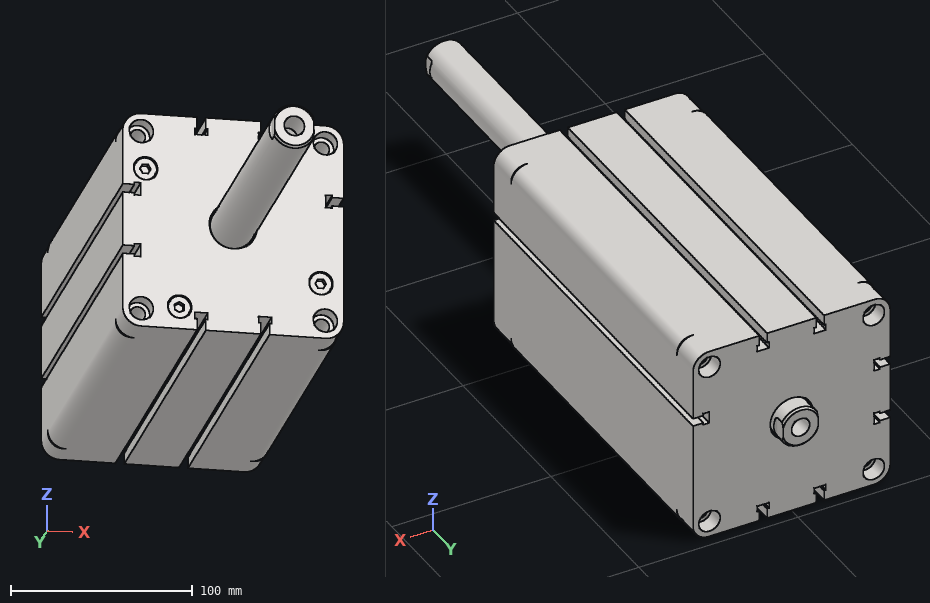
import cadquery as cq
import math


total_length = 406.5
rod_reach = 169.5
rod_rear_reach = 10.0
front_cap_length = 20.0
rear_cap_length = 18.3

housing_side = 124.0
cap_corner_radius = 10.0
barrel_corner_radius = 9.0

slot_offset = 18.0
slot_neck_width = 5.0
slot_neck_depth = 6.5
slot_head_width = 7.5
slot_depth = 10.0

rod_diameter = 25.0
rod_recess_diameter = 27.0
rod_recess_depth = 2.0
rod_chamfer = 1.2
flat_across = 22.0
flat_length = 7.7
flat_runout_radius = 1.2
rod_hole_diameter = 11.5
rod_hole_depth = 20.5
drill_point_angle = 118.0

mount_hole_offset = 51.5
mount_hole_diameter = 8.5
mount_bore_diameter = 13.5
mount_bore_depth = 10.0

screw_near_offset = 30.0
screw_far_offset = 49.0
screw_bore_diameter = 13.5
screw_head_diameter = 12.5
screw_bore_depth = 5.0
screw_head_recess = 1.0
socket_across_corners = 6.0
socket_depth = 3.3

half_side = housing_side / 2
rod_front = -total_length / 2
rod_rear = total_length / 2
housing_front = rod_front + rod_reach
housing_rear = rod_rear - rod_rear_reach
housing_length = housing_rear - housing_front


def plane_at(y):
    """Sketch plane across the axis: local x is X, local y is Z, normal is -Y."""
    return cq.Workplane("XZ", origin=(0, y, 0))


def square_block(y_start, y_end, corner_radius):
    block = plane_at(y_end).rect(housing_side, housing_side).extrude(y_end - y_start)
    return block.edges("|Y").fillet(corner_radius)


def cylinder(diameter, y_start, y_end, points=((0, 0),)):
    return plane_at(y_end).pushPoints(points).circle(diameter / 2).extrude(y_end - y_start)


def make_housing():
    front_joint = housing_front + front_cap_length
    rear_joint = housing_rear - rear_cap_length
    front_cap = square_block(housing_front, front_joint, cap_corner_radius)
    barrel = square_block(front_joint, rear_joint, barrel_corner_radius)
    rear_cap = square_block(rear_joint, housing_rear, cap_corner_radius)
    return front_cap.union(barrel).union(rear_cap)


def make_t_slot(x, turn):
    """T-slot in the top face at the given x, turned about the axis by 90 degree steps."""
    head_height = slot_depth - slot_neck_depth
    neck = plane_at(housing_rear).center(x, half_side - slot_depth / 2)
    neck = neck.rect(slot_neck_width, slot_depth).extrude(housing_length)
    head = plane_at(housing_rear).center(x, half_side - slot_depth + head_height / 2)
    head = head.rect(slot_head_width, head_height).extrude(housing_length)
    return neck.union(head).rotate((0, 0, 0), (0, 1, 0), turn)


def cut_t_slots(body):
    top, right, bottom, left = 0, 90, 180, 270
    for turn in (top, bottom, left):
        for x in (-slot_offset, slot_offset):
            body = body.cut(make_t_slot(x, turn))
    return body.cut(make_t_slot(-slot_offset, right))


def cut_mounting_holes(body):
    corners = [(sx * mount_hole_offset, sz * mount_hole_offset) for sx in (-1, 1) for sz in (-1, 1)]
    body = body.cut(cylinder(mount_hole_diameter, housing_front, housing_rear, corners))
    body = body.cut(cylinder(mount_bore_diameter, housing_front, housing_front + mount_bore_depth, corners))
    return body.cut(cylinder(mount_bore_diameter, housing_rear - mount_bore_depth, housing_rear, corners))


def add_cap_screws(body):
    """Four socket-head screws sunk into the front cap, a quarter turn apart."""
    bore_floor = housing_front + screw_bore_depth
    head_face = housing_front + screw_head_recess
    centre = [(screw_near_offset, screw_far_offset)]
    bore = cylinder(screw_bore_diameter, housing_front, bore_floor, centre)
    head = cylinder(screw_head_diameter, head_face, bore_floor, centre)
    socket = plane_at(head_face + socket_depth).center(*centre[0])
    socket = socket.transformed(rotate=(0, 0, 90)).polygon(6, socket_across_corners).extrude(socket_depth)
    clearance = bore.cut(head).union(socket)
    for turn in range(0, 360, 90):
        body = body.cut(clearance.rotate((0, 0, 0), (0, 1, 0), turn))
    return body


def make_flat_cutter(side):
    """Material beside one wrench flat at the front rod end, with a rounded run-out."""
    inner = side * flat_across / 2
    outer = side * rod_diameter
    flat_end = rod_front + flat_length
    arc_offset = flat_runout_radius * (1 - math.sqrt(0.5))
    outline = (
        cq.Workplane("XY", origin=(0, 0, -rod_diameter / 2))
        .moveTo(inner, rod_front)
        .lineTo(inner, flat_end - flat_runout_radius)
        .threePointArc(
            (inner + side * arc_offset, flat_end - arc_offset),
            (inner + side * flat_runout_radius, flat_end),
        )
        .lineTo(outer, flat_end)
        .lineTo(outer, rod_front)
        .close()
    )
    return outline.extrude(rod_diameter)


def make_end_hole():
    """Blind hole with a conical bottom, drilled into the front rod end."""
    radius = rod_hole_diameter / 2
    tip_length = radius / math.tan(math.radians(drill_point_angle / 2))
    profile = cq.Workplane("XY").moveTo(0, rod_front).lineTo(radius, rod_front)
    profile = profile.lineTo(radius, rod_front + rod_hole_depth)
    profile = profile.lineTo(0, rod_front + rod_hole_depth + tip_length).close()
    return profile.revolve(360, (0, 0, 0), (0, 1, 0))


def make_rod():
    rod = cylinder(rod_diameter, rod_front, rod_rear).faces("<Y or >Y").chamfer(rod_chamfer)
    end_cuts = make_flat_cutter(-1).union(make_flat_cutter(1)).union(make_end_hole())
    return rod.cut(end_cuts).cut(end_cuts.mirror("XZ"))


def cut_rod_recesses(body):
    front = cylinder(rod_recess_diameter, housing_front, housing_front + rod_recess_depth)
    rear = cylinder(rod_recess_diameter, housing_rear - rod_recess_depth, housing_rear)
    return body.cut(front).cut(rear)


housing = make_housing()
housing = cut_t_slots(housing)
housing = cut_mounting_holes(housing)
housing = add_cap_screws(housing)
housing = cut_rod_recesses(housing)
result = housing.union(make_rod())